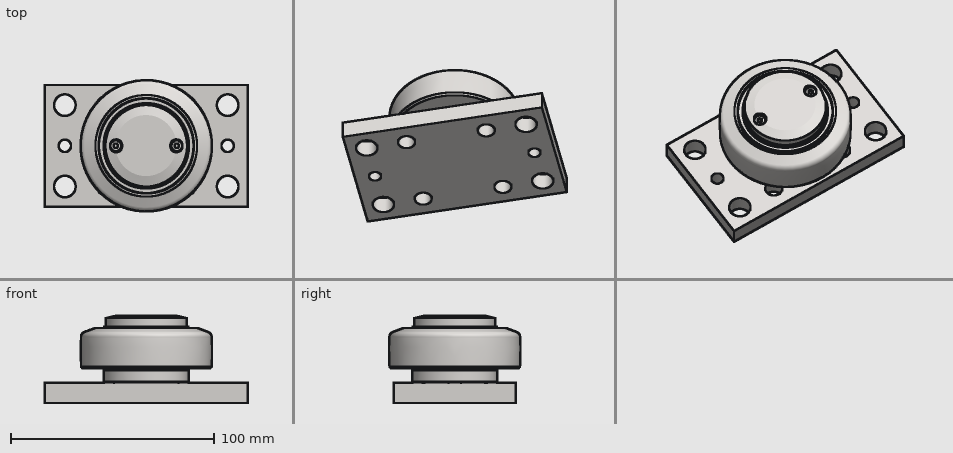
import cadquery as cq

plate_length = 100
plate_width = 60
plate_thickness = 10
overall_height = 43

mount_hole_diameter = 10.5
mount_hole_x = 40
hole_row_y = 20
dowel_hole_diameter = 6
inner_hole_diameter = 8.4
inner_hole_x = 20

neck_diameter = 42
neck_foot_diameter = 41.5
neck_foot_height = 0.5
neck_top_z = 16
collar_diameter = 41.5
collar_top_z = 37.6
cap_diameter = 40
cap_edge_z = 41.7
cap_flat_diameter = 30

roller_bottom_z = 16.9
roller_top_z = 37
crown_bottom_z = 18
crown_top_z = 32
crown_edge_radius = 32.2
crown_radius = 32.4
bottom_edge_radius = 31.2
shoulder_radius = 30.4
shoulder_z = 35
shoulder_arc_mid = (31.7, 34)
rim_inner_radius = 25

seal_outer_diameter = 47
inner_groove_outer_diameter = 42.1
groove_width = 0.3
groove_depth = 0.5

screw_spacing = 30
screw_recess_diameter = 6.5
screw_head_diameter = 5.3
screw_head_z = 41.8
socket_across_corners = 2.4
socket_depth = 1


def cylinder(diameter, bottom_z, top_z):
    return cq.Workplane("XY").workplane(offset=bottom_z).circle(diameter / 2).extrude(top_z - bottom_z)


def ring(outer_diameter, width, bottom_z, top_z):
    inner = cylinder(outer_diameter - 2 * width, bottom_z, top_z)
    return cylinder(outer_diameter, bottom_z, top_z).cut(inner)


def make_plate():
    plate = cq.Workplane("XY").box(plate_length, plate_width, plate_thickness, centered=(True, True, False))
    top = plate.faces(">Z").workplane()
    hole_rows = (
        (mount_hole_diameter, mount_hole_x, (-hole_row_y, hole_row_y)),
        (inner_hole_diameter, inner_hole_x, (-hole_row_y, hole_row_y)),
        (dowel_hole_diameter, mount_hole_x, (0,)),
    )
    for diameter, hole_x, rows in hole_rows:
        centers = [(side * hole_x, y) for side in (-1, 1) for y in rows]
        plate = plate.cut(top.pushPoints(centers).circle(diameter / 2).extrude(-plate_thickness, combine=False))
    return plate


def make_pin_and_roller():
    """Revolve the outer profile, from the plate to the top of the cap."""
    foot_top_z = plate_thickness + neck_foot_height
    profile = (
        cq.Workplane("XZ")
        .moveTo(0, plate_thickness)
        .lineTo(neck_foot_diameter / 2, plate_thickness)
        .lineTo(neck_foot_diameter / 2, foot_top_z)
        .lineTo(neck_diameter / 2, foot_top_z)
        .lineTo(neck_diameter / 2, neck_top_z)
        .lineTo(collar_diameter / 2, neck_top_z)
        .lineTo(collar_diameter / 2, roller_bottom_z)
        .lineTo(bottom_edge_radius, roller_bottom_z)
        .lineTo(crown_edge_radius, crown_bottom_z)
        .threePointArc((crown_radius, (crown_bottom_z + crown_top_z) / 2), (crown_edge_radius, crown_top_z))
        .threePointArc(shoulder_arc_mid, (shoulder_radius, shoulder_z))
        .lineTo(rim_inner_radius, roller_top_z)
        .lineTo(collar_diameter / 2, roller_top_z)
        .lineTo(collar_diameter / 2, collar_top_z)
        .lineTo(cap_diameter / 2, collar_top_z)
        .lineTo(cap_diameter / 2, cap_edge_z)
        .lineTo(cap_flat_diameter / 2, overall_height)
        .lineTo(0, overall_height)
        .close()
    )
    return profile.revolve(360, (0, 0, 0), (0, 1, 0))


def make_screw_recess():
    """Cutter for one tapered recess with the hexagon socket at its floor."""
    taper = (
        cq.Workplane("XY")
        .workplane(offset=screw_head_z)
        .circle(screw_head_diameter / 2)
        .workplane(offset=overall_height - screw_head_z)
        .circle(screw_recess_diameter / 2)
        .loft()
    )
    socket_floor = cq.Workplane("XY").workplane(offset=screw_head_z - socket_depth)
    socket = socket_floor.polygon(6, socket_across_corners).extrude(socket_depth)
    return taper.union(socket)


result = make_plate().union(make_pin_and_roller())

for diameter in (seal_outer_diameter, inner_groove_outer_diameter):
    result = result.cut(ring(diameter, groove_width, roller_top_z - groove_depth, roller_top_z))

for side in (-1, 1):
    result = result.cut(make_screw_recess().translate((side * screw_spacing / 2, 0, 0)))